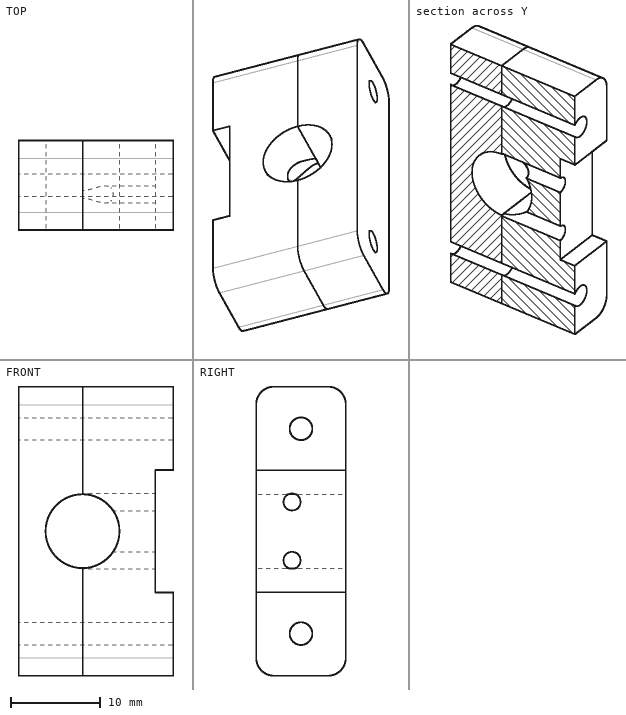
import cadquery as cq

bore_diameter = 8.2

slot_depth = 2.0
slot_height = 13.6

cap_wall = 3.0
base_wall = 4.0
cap_thickness = cap_wall + bore_diameter / 2
base_thickness = base_wall + bore_diameter / 2 + slot_depth
depth = 10.0
height = 32.2
edge_radius = 2.0

clamp_hole_diameter = 2.5
clamp_hole_spacing = 22.8

mount_hole_diameter = 1.9
mount_hole_spacing = 6.5
mount_hole_y = -1.0


def half_block(start_x, thickness):
    """Rounded plate with its share of the rod bore and the clamp screw holes."""
    block = (
        cq.Workplane("YZ", origin=(start_x, 0, 0))
        .rect(depth, height)
        .extrude(thickness)
        .edges("|X")
        .fillet(edge_radius)
    )
    bore = cq.Workplane("XZ").circle(bore_diameter / 2).extrude(depth / 2, both=True)
    clamp_holes = (
        cq.Workplane("YZ", origin=(start_x, 0, 0))
        .rarray(1, clamp_hole_spacing, 1, 2)
        .circle(clamp_hole_diameter / 2)
        .extrude(thickness)
    )
    return block.cut(bore).cut(clamp_holes)


def make_cap():
    return half_block(-cap_thickness, cap_thickness)


def make_base():
    slot_centre_x = base_thickness - slot_depth / 2
    slot = cq.Workplane("XY").box(slot_depth, depth, slot_height).translate((slot_centre_x, 0, 0))
    mount_holes = (
        cq.Workplane("YZ")
        .center(mount_hole_y, 0)
        .rarray(1, mount_hole_spacing, 1, 2)
        .circle(mount_hole_diameter / 2)
        .extrude(base_thickness)
    )
    return half_block(0, base_thickness).cut(slot).cut(mount_holes)


cap = make_cap()
base = make_base()
result = cq.Compound.makeCompound([cap.val(), base.val()])